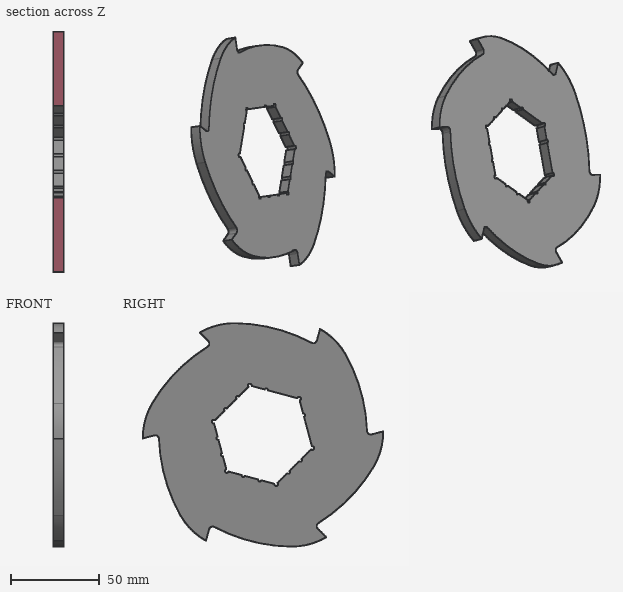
import cadquery as cq
import math

thickness = 6.0
tooth_count = 6
tooth_pitch = 360 / tooth_count

root_radius = 58.9
root_angle = 59.7
crest_radius = 65.1
crest_angle = 104.1
tip_radius = 68.0
tip_angle = 121.75
back_arc_radius = 95.1
nose_arc_radius = 38.7
gullet_fillet = 2.0

bore_corner_radius = 28.8
bore_first_corner = 45.0
corner_relief_radius = 1.0
notch_radius = 0.88
both_notches = (1 / 3, 2 / 3)
side_notches = (
    (2 / 3,),
    both_notches,
    both_notches,
    both_notches,
    both_notches,
    (2 / 3,),
)


def polar(radius, angle):
    """Point in the YZ plane at a radius and an angle in degrees."""
    turn = math.radians(angle)
    return (radius * math.cos(turn), radius * math.sin(turn))


def between(start, end, fraction):
    """Point at a fraction of the way from start to end."""
    return tuple(a + fraction * (b - a) for a, b in zip(start, end))


def arc_middle(start, end, radius):
    """Middle of an arc that bulges to the right of the way from start to end."""
    dy = end[0] - start[0]
    dz = end[1] - start[1]
    chord = math.hypot(dy, dz)
    bulge = radius - math.sqrt(radius**2 - (chord / 2) ** 2)
    middle = between(start, end, 0.5)
    return (middle[0] + bulge * dz / chord, middle[1] - bulge * dy / chord)


def make_toothed_disc():
    outline = cq.Workplane("YZ").workplane(offset=-thickness / 2).moveTo(*polar(root_radius, root_angle))
    for index in range(tooth_count):
        turn = index * tooth_pitch
        root = polar(root_radius, root_angle + turn)
        crest = polar(crest_radius, crest_angle + turn)
        tip = polar(tip_radius, tip_angle + turn)
        outline = outline.threePointArc(arc_middle(root, crest, back_arc_radius), crest)
        outline = outline.threePointArc(arc_middle(crest, tip, nose_arc_radius), tip)
        if index < tooth_count - 1:
            outline = outline.lineTo(*polar(root_radius, root_angle + turn + tooth_pitch))
    disc = outline.close().extrude(thickness)

    inner_limit = (root_radius + crest_radius) / 2
    gullets = disc.edges("|X").filter(lambda edge: math.hypot(edge.Center().y, edge.Center().z) < inner_limit)
    return gullets.fillet(gullet_fillet)


def make_bore():
    side_count = len(side_notches)
    corners = [polar(bore_corner_radius, bore_first_corner + i * 360 / side_count) for i in range(side_count)]
    notches = []
    for index, fractions in enumerate(side_notches):
        start = corners[index]
        end = corners[(index + 1) % side_count]
        notches += [between(start, end, fraction) for fraction in fractions]

    plane = cq.Workplane("YZ").workplane(offset=-thickness / 2)
    hexagon = plane.polyline(corners).close().extrude(thickness)
    reliefs = plane.pushPoints(corners).circle(corner_relief_radius).extrude(thickness)
    side_cuts = plane.pushPoints(notches).circle(notch_radius).extrude(thickness)
    return hexagon.union(reliefs).union(side_cuts)


result = make_toothed_disc().cut(make_bore())